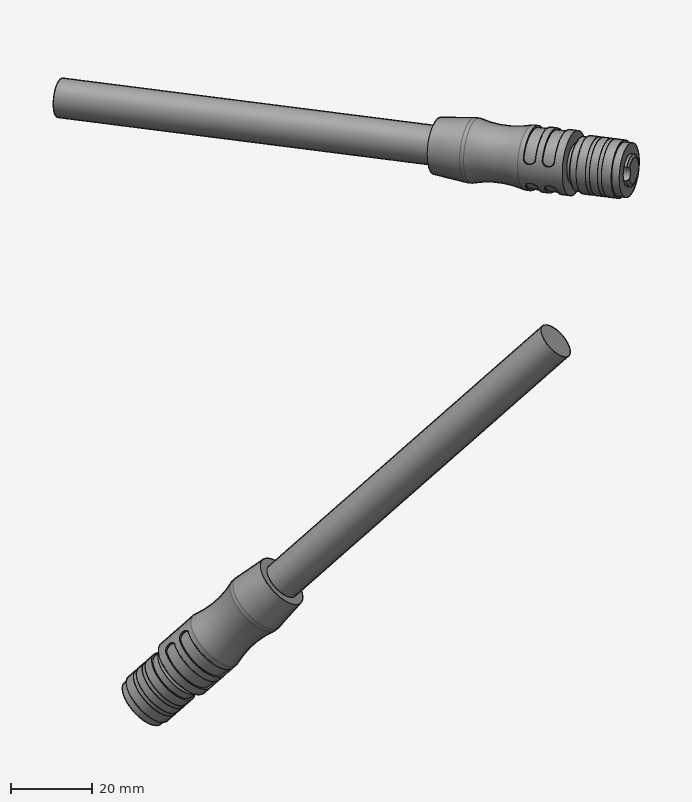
import cadquery as cq


cable_length = 100.0
cable_diameter = 9.9
cable_radius = cable_diameter / 2

grip_diameter = 16.3
grip_radius = grip_diameter / 2
grip_rear_radius = 7.1
waist_radius = 7.1
crest_start = 108.9
crest_end = 110.0
barrel_start = 124.3
grip_end = 136.1

pocket_start = 125.6
pocket_width = 3.2
pocket_pitch = 5.0
pockets_per_side = 2
pocket_depth = 0.5
pocket_corner_radius = 1.5
pocket_sweep = 141.0
grip_tilt = 11.5

neck_radius = 5.0
insert_radius = 4.1
insert_end = 151.9
insert_chamfer_length = 0.5
insert_chamfer_depth = 0.8

keyway_radius = 1.8
keyway_length = 3.0
keyway_height = 0.3

nut_start = 137.2
nut_end = 150.7
nut_radius = 7.3
collar_radius = 6.8
collar_end = 139.5
collar_chamfer_length = 0.5
collar_chamfer_depth = 0.9
nose_start = 148.7

groove_start = 141.9
groove_width = 1.0
groove_pitch = 3.2
groove_count = 2
groove_depth = 0.08

cutter_margin = 0.8

X_AXIS = ((0, 0, 0), (1, 0, 0))


def ring(start, length, outer_radius, inner_radius):
    """Tube along X."""
    return (
        cq.Workplane("YZ", origin=(start, 0, 0))
        .circle(outer_radius)
        .circle(inner_radius)
        .extrude(length)
    )


def core_blank():
    """Cable, grip, neck and insert turned in one piece."""
    waist_middle = (crest_end + barrel_start) / 2
    return (
        cq.Workplane("XY")
        .moveTo(0, 0)
        .lineTo(0, cable_radius)
        .lineTo(cable_length, cable_radius)
        .lineTo(cable_length, grip_rear_radius)
        .lineTo(crest_start, grip_radius)
        .lineTo(crest_end, grip_radius)
        .threePointArc((waist_middle, waist_radius), (barrel_start, grip_radius))
        .lineTo(grip_end, grip_radius)
        .lineTo(grip_end, neck_radius)
        .lineTo(nut_start, neck_radius)
        .lineTo(nut_start, insert_radius)
        .lineTo(insert_end - insert_chamfer_length, insert_radius)
        .lineTo(insert_end, insert_radius - insert_chamfer_depth)
        .lineTo(insert_end, 0)
        .close()
        .revolve(360, *X_AXIS)
    )


def finger_pocket(start):
    """Curved pocket centred on +Z, wrapped around X, with rounded ends."""
    floor_radius = grip_radius - pocket_depth
    cutter_radius = grip_radius + cutter_margin
    return (
        cq.Workplane("XY")
        .moveTo(start, floor_radius)
        .lineTo(start + pocket_width, floor_radius)
        .lineTo(start + pocket_width, cutter_radius)
        .lineTo(start, cutter_radius)
        .close()
        .revolve(pocket_sweep, *X_AXIS)
        .edges(cq.selectors.LengthNthSelector(0))
        .fillet(pocket_corner_radius)
        .rotate(*X_AXIS, 90 - pocket_sweep / 2)
    )


def keyway():
    """Round groove along X in the rim of the insert."""
    return (
        cq.Workplane("YZ", origin=(insert_end - keyway_length, 0, 0))
        .center(-insert_radius, keyway_height)
        .circle(keyway_radius)
        .extrude(keyway_length)
    )


def make_core():
    core = core_blank()
    for index in range(pockets_per_side):
        pocket = finger_pocket(pocket_start + index * pocket_pitch)
        for half_turn in (0, 180):
            core = core.cut(pocket.rotate(*X_AXIS, grip_tilt + half_turn))
    return core.cut(keyway())


def make_nut():
    nut = (
        cq.Workplane("XY")
        .moveTo(nut_start, insert_radius)
        .lineTo(nut_start, collar_radius - collar_chamfer_depth)
        .lineTo(nut_start + collar_chamfer_length, collar_radius)
        .lineTo(collar_end, collar_radius)
        .lineTo(collar_end, nut_radius)
        .lineTo(nose_start, nut_radius)
        .lineTo(nose_start, collar_radius)
        .lineTo(nut_end, collar_radius)
        .lineTo(nut_end, insert_radius)
        .close()
        .revolve(360, *X_AXIS)
    )
    for index in range(groove_count):
        start = groove_start + index * groove_pitch
        nut = nut.cut(ring(start, groove_width, nut_radius + cutter_margin, nut_radius - groove_depth))
    return nut


core = make_core()
nut = make_nut()
result = cq.Compound.makeCompound([core.val(), nut.val()])